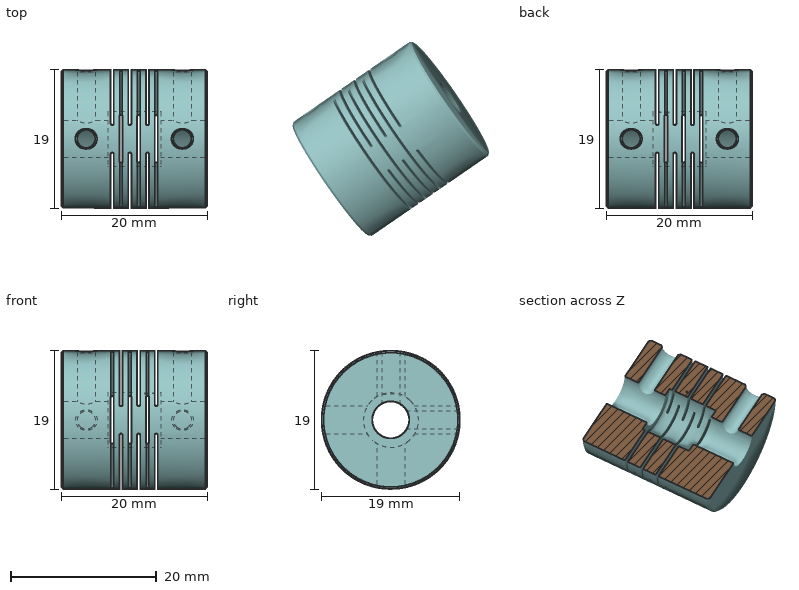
import cadquery as cq

length = 20
outer_radius = 9.5
end_chamfer = 0.28
bore_radius = 2.52

slot_width = 0.4
slot_floor = 1.9
slot_pitch = 2.42
slots_per_direction = 3
direction_offset = slot_pitch / 4

relief_radius = 3.75
relief_margin = slot_width
outermost_slot = slot_pitch * (slots_per_direction - 1) / 2 + direction_offset
relief_length = 2 * (outermost_slot + slot_width / 2 + relief_margin)

screw_offset = 6.6
screw_radius = 1.25
countersink_radius = 1.5
countersink_depth = countersink_radius - screw_radius


def axial_cylinder(radius, cylinder_length):
    start = (-cylinder_length / 2, 0, 0)
    return cq.Workplane("YZ", origin=start).circle(radius).extrude(cylinder_length)


def slot_pair(x):
    """Two opposite cuts at x, open towards +Z and -Z."""
    straight_height = outer_radius - slot_floor
    floor_center = slot_floor + slot_width / 2
    upper = (
        cq.Workplane("XZ")
        .center(x, floor_center)
        .moveTo(-slot_width / 2, straight_height)
        .lineTo(-slot_width / 2, 0)
        .threePointArc((0, -slot_width / 2), (slot_width / 2, 0))
        .lineTo(slot_width / 2, straight_height)
        .close()
        .extrude(outer_radius, both=True)
    )
    return upper.union(upper.mirror("XY"))


def screw_hole(x):
    """Countersunk radial hole at x, open towards +Z."""
    profile = [
        (0, 0),
        (screw_radius, 0),
        (screw_radius, outer_radius - countersink_depth),
        (countersink_radius, outer_radius),
        (0, outer_radius),
    ]
    hole = cq.Workplane("XZ").polyline(profile).close().revolve(360, (0, 0), (0, 1))
    return hole.translate((x, 0, 0))


def turn_to_y(cutter):
    """Quarter turn about the axis, from +Z to +Y."""
    return cutter.rotate((0, 0, 0), (1, 0, 0), -90)


body = axial_cylinder(outer_radius, length).faces("<X or >X").chamfer(end_chamfer)
body = body.cut(axial_cylinder(bore_radius, length))
body = body.cut(axial_cylinder(relief_radius, relief_length))

for index in range(slots_per_direction):
    pair_x = (index - (slots_per_direction - 1) / 2) * slot_pitch
    body = body.cut(slot_pair(pair_x + direction_offset))
    body = body.cut(turn_to_y(slot_pair(pair_x - direction_offset)))

for screw_x in (-screw_offset, screw_offset):
    body = body.cut(screw_hole(screw_x))
    body = body.cut(turn_to_y(screw_hole(screw_x)))

result = body